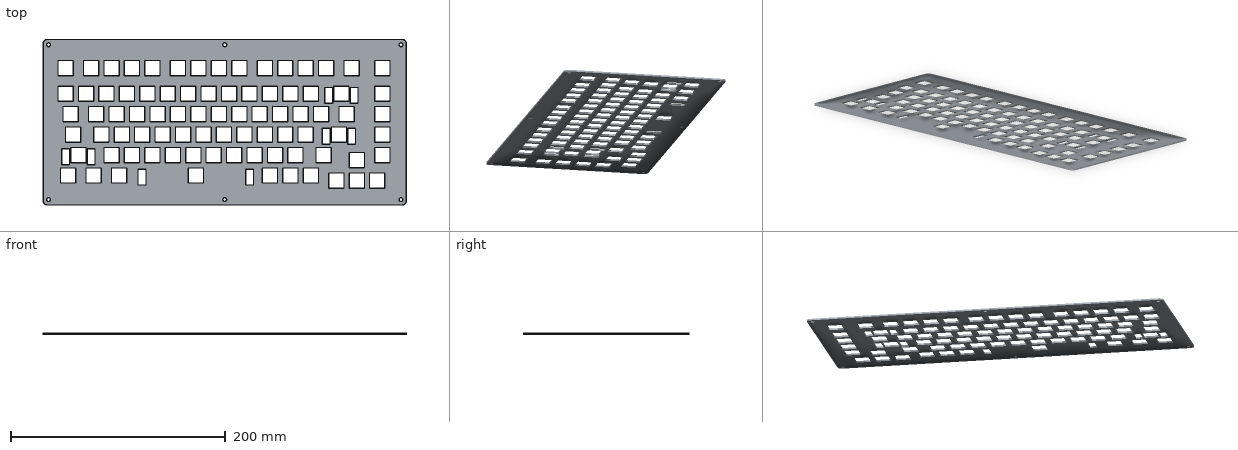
import cadquery as cq

plate_length = 338.8
plate_width = 154.5
plate_thickness = 1.5
corner_radius = 4.0

screw_diameter = 3.5
screw_inset = 5.0

number_row_keys = 13
number_row_span = 247.5
pitch = number_row_span / number_row_keys
switch_gap = 5.0
switch_size = pitch - switch_gap

stabiliser_width = 7.0
stabiliser_height = 14.5
stabiliser_drop = 1.52
long_key_reach = 12.0
space_bar_reach = 50.0

FUNCTION, NUMBER, TOP, HOME, SHIFT, SPACE = 0, 1.25, 2.25, 3.25, 4.25, 5.25
ARROW_SHIFT = 0.25

NAVIGATION = 15.5
BACKSPACE, ENTER, LEFT_SHIFT, SPACE_BAR = 13.5, 13.375, 0.625, 6.375

first_key_x = -148.5
top_letter_row_y = 7.5
first_key_y = top_letter_row_y + TOP * pitch

key_runs = [
    (FUNCTION, 0, 1), (FUNCTION, 1.25, 4), (FUNCTION, 5.5, 4),
    (FUNCTION, 9.75, 4), (FUNCTION, 14, 1), (FUNCTION, NAVIGATION, 1),
    (NUMBER, 0, number_row_keys), (NUMBER, BACKSPACE, 1), (NUMBER, NAVIGATION, 1),
    (TOP, 0.25, 1), (TOP, 1.5, 12), (TOP, 13.75, 1), (TOP, NAVIGATION, 1),
    (HOME, 0.375, 1), (HOME, 1.75, 11), (HOME, ENTER, 1), (HOME, NAVIGATION, 1),
    (SHIFT, LEFT_SHIFT, 1), (SHIFT, 2.25, 10), (SHIFT, 12.625, 1), (SHIFT, NAVIGATION, 1),
    (SPACE, 0.125, 1), (SPACE, 1.375, 1), (SPACE, 2.625, 1),
    (SPACE, SPACE_BAR, 1), (SPACE, 10, 3),
    (SHIFT + ARROW_SHIFT, 14.25, 1), (SPACE + ARROW_SHIFT, 13.25, 3),
]

stabilised_keys = [
    (NUMBER, BACKSPACE, long_key_reach),
    (HOME, ENTER, long_key_reach),
    (SHIFT, LEFT_SHIFT, long_key_reach),
    (SPACE, SPACE_BAR, space_bar_reach),
]


def key_centre(row, column):
    """Plate position of a key given in key pitches from the top-left key."""
    return (first_key_x + column * pitch, first_key_y - row * pitch)


def switch_centres():
    """Centres of all the switch openings, run by run."""
    return [key_centre(row, first + i) for row, first, count in key_runs for i in range(count)]


def stabiliser_centres():
    """Centres of the slots on both sides of each stabilised key."""
    centres = []
    for row, column, reach in stabilised_keys:
        x, y = key_centre(row, column)
        for side in (-1, 1):
            centres.append((x + side * reach, y - stabiliser_drop))
    return centres


def screw_centres():
    """Centres of the holes at the ends and the middle of both long edges."""
    end_x = plate_length / 2 - screw_inset
    edge_y = plate_width / 2 - screw_inset
    return [(x, y) for x in (-end_x, 0, end_x) for y in (-edge_y, edge_y)]


def through_cutters(profile):
    """Solids that pass right through the plate, one for each outline of the profile."""
    return profile.extrude(plate_thickness)


plate = (
    cq.Workplane("XY")
    .rect(plate_length, plate_width)
    .extrude(plate_thickness)
    .edges("|Z")
    .fillet(corner_radius)
)

switch_openings = through_cutters(
    cq.Workplane("XY").pushPoints(switch_centres()).rect(switch_size, switch_size)
)
stabiliser_slots = through_cutters(
    cq.Workplane("XY").pushPoints(stabiliser_centres()).rect(stabiliser_width, stabiliser_height)
)
screw_holes = through_cutters(
    cq.Workplane("XY").pushPoints(screw_centres()).circle(screw_diameter / 2)
)

result = plate.cut(switch_openings).cut(stabiliser_slots).cut(screw_holes)